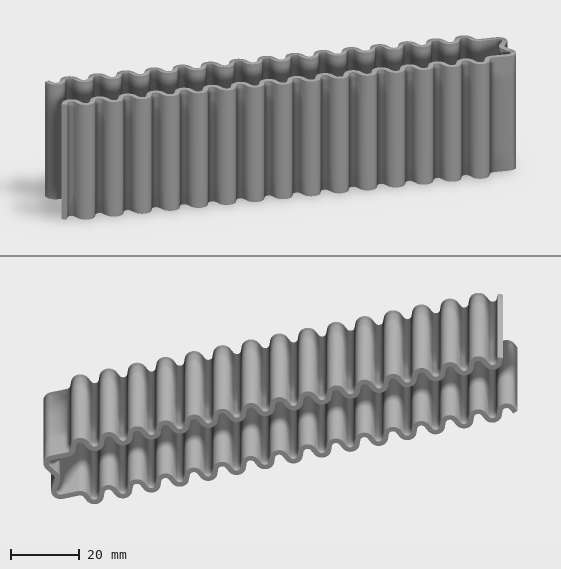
import cadquery as cq
import math

length = 138.3
width = 23.0
height = 36.0

thickness = 1.5
half_thickness = thickness / 2
bend_inner_radius = 1.2
bend_radius = bend_inner_radius + half_thickness

wave_count = 15
waves_length = 127.5
wave_pitch = waves_length / wave_count
wave_angle = 68.0
wave_sin = math.sin(math.radians(wave_angle))
wave_cos = math.cos(math.radians(wave_angle))

bridge_angle = 30.0
bridge_sin = math.sin(math.radians(bridge_angle))
bridge_cos = math.cos(math.radians(bridge_angle))

flank_length = (wave_pitch / 2 - 2 * bend_radius * wave_sin) / wave_cos
wave_depth = 2 * bend_radius * (1 - wave_cos) + flank_length * wave_sin
wall_x = width / 2 - half_thickness - wave_depth

slope_run = wall_x - bend_radius - 2 * bend_radius * bridge_sin
slope_length = slope_run / bridge_cos
corner_y = length / 2 - half_thickness - bend_radius
slope_top_y = corner_y + bend_radius * bridge_cos
dip_y = slope_top_y - slope_length * bridge_sin - bend_radius * (1 - bridge_cos)

tail_length = bend_radius * wave_sin + flank_length * wave_cos + half_thickness * wave_sin
wave_start_y = -length / 2 + tail_length + waves_length
wall_length = corner_y - wave_start_y


def strip_steps():
    """Bends and straights of the -X half, as (turn, straight) pairs; left turns are positive."""
    steps = [
        (-bridge_angle, slope_length),
        (90 + bridge_angle, wall_length),
        (-wave_angle, flank_length),
    ]
    for _ in range(wave_count):
        steps.append((2 * wave_angle, flank_length))
        steps.append((-2 * wave_angle, flank_length))
    return steps


def shifted(point, direction, distance):
    """Point moved by a distance along a direction given in degrees."""
    angle = math.radians(direction)
    return (point[0] + distance * math.cos(angle), point[1] + distance * math.sin(angle))


def strip_face_points(offset):
    """Start point, and (bend middle, bend end, straight end) per step, of the face at a left offset."""
    heading = 180
    point = shifted((0, dip_y), heading + 90, offset)
    start = point
    pieces = []
    for turn, straight in strip_steps():
        reach = math.copysign(bend_radius, turn) - offset
        center = shifted(point, heading + 90, reach)
        bend_middle = shifted(center, heading + turn / 2 - 90, reach)
        heading += turn
        bend_end = shifted(center, heading - 90, reach)
        point = shifted(bend_end, heading, straight)
        pieces.append((bend_middle, bend_end, point))
    return start, pieces


def half_strip():
    """The -X half: out along one face of the strip, across its cut end and back along the other."""
    left_start, left_pieces = strip_face_points(half_thickness)
    right_start, right_pieces = strip_face_points(-half_thickness)

    outline = cq.Workplane("XY").moveTo(*left_start)
    for bend_middle, bend_end, straight_end in left_pieces:
        outline = outline.threePointArc(bend_middle, bend_end).lineTo(*straight_end)

    outline = outline.lineTo(*right_pieces[-1][2])
    bend_starts = [right_start] + [straight_end for _, _, straight_end in right_pieces[:-1]]
    for bend_start, (bend_middle, bend_end, _) in zip(bend_starts[::-1], right_pieces[::-1]):
        outline = outline.lineTo(*bend_end).threePointArc(bend_middle, bend_start)
    return outline.close().extrude(height)


left_half = half_strip()
result = left_half.union(left_half.mirror("YZ")).clean()